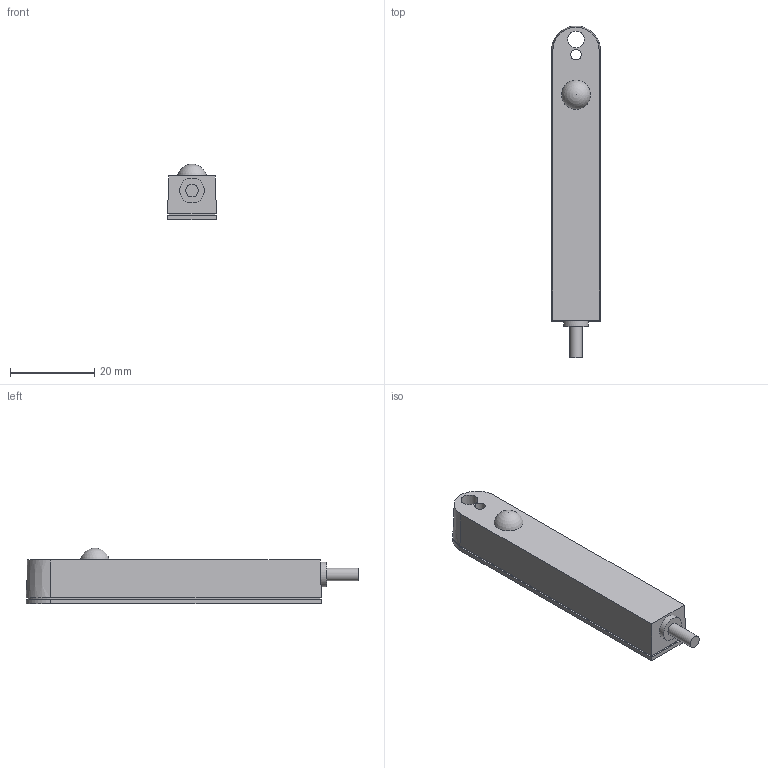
import cadquery as cq

case_width = 11.6
case_length = 70.0
case_height = 10.4
end_radius = case_width / 2
base_thickness = 1.0
groove_height = 0.4
groove_depth = 0.4
draft_angle = 2.0
shell_bottom = base_thickness + groove_height
shell_height = case_height - shell_bottom

tip_y = end_radius
mounting_hole_diameter = 4.0
mounting_hole_from_tip = 3.2
small_hole_diameter = 2.5
small_hole_from_tip = 6.8

dome_radius = 3.5
dome_height = 2.8
dome_from_tip = 16.3

flat_end_y = tip_y - case_length
cable_diameter = 3.0
cable_length = 7.46
collar_diameter = 5.9
collar_length = 1.2
rod_axis_height = 6.95
rod_root_depth = 1.0


def bar_outline(bottom_z, inset=0.0):
    """Outline with a round +Y end and a square -Y end, shrunk all round by the inset."""
    half_width = end_radius - inset
    end_y = flat_end_y + inset
    return (
        cq.Workplane("XY", origin=(0, 0, bottom_z))
        .moveTo(-half_width, end_y)
        .lineTo(half_width, end_y)
        .lineTo(half_width, 0)
        .threePointArc((0, half_width), (-half_width, 0))
        .close()
    )


def make_case():
    """Base plate and tapered shell, separated by a narrow groove."""
    base = bar_outline(0).extrude(base_thickness)
    neck = bar_outline(base_thickness, groove_depth).extrude(groove_height)
    shell = bar_outline(shell_bottom).extrude(shell_height, taper=draft_angle)
    return base.union(neck).union(shell)


def make_dome():
    """Cap of a sphere whose centre lies just below the top face."""
    sphere_centre_z = case_height + dome_height - dome_radius
    return cq.Workplane("XY", origin=(0, tip_y - dome_from_tip, sphere_centre_z)).sphere(dome_radius)


def end_wall_rod(diameter, tip_from_wall):
    """Horizontal rod rooted inside the case and reaching out past the foot of the end wall."""
    return (
        cq.Workplane("XZ", origin=(0, flat_end_y + rod_root_depth, rod_axis_height))
        .circle(diameter / 2)
        .extrude(rod_root_depth + tip_from_wall)
    )


def through_hole(diameter, distance_from_tip):
    """Vertical cutter through the full case height."""
    centre_y = tip_y - distance_from_tip
    return cq.Workplane("XY").center(0, centre_y).circle(diameter / 2).extrude(case_height)


result = (
    make_case()
    .union(make_dome())
    .union(end_wall_rod(collar_diameter, collar_length))
    .union(end_wall_rod(cable_diameter, collar_length + cable_length))
    .cut(through_hole(mounting_hole_diameter, mounting_hole_from_tip))
    .cut(through_hole(small_hole_diameter, small_hole_from_tip))
)